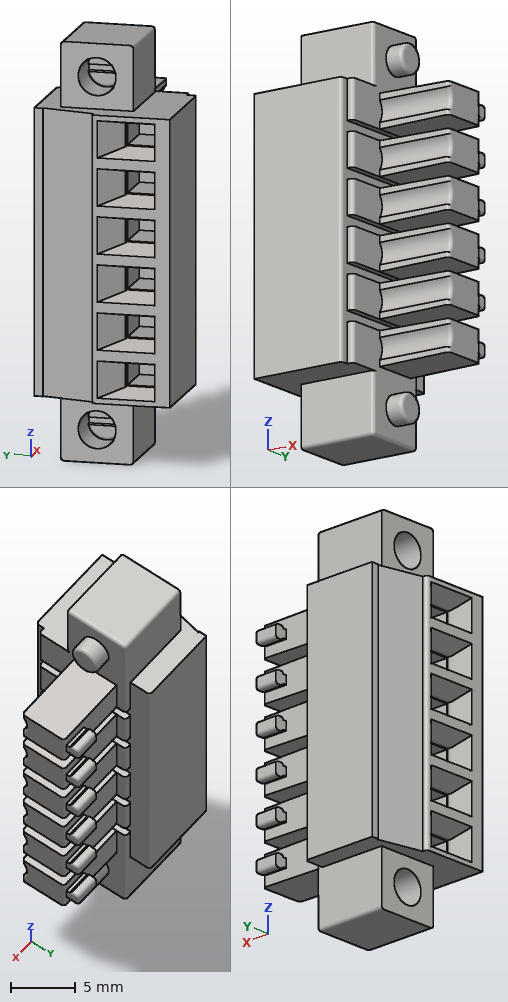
import cadquery as cq

pole_count = 6
pitch = 3.81
edge_radius = 0.3

housing_height = pole_count * pitch
housing_length = 8.3
housing_depth = 11.1
cover_x = 1.2
cover_y = 10.4
slope_bottom_x = 0.45
ledge_y = 6.22
slope_top_x = 1.3

flange_height = 5.2
flange_x = 2.0
contact_face_x = 8.9
flange_y_min = 3.4
flange_y_max = 9.2
screw_y = (flange_y_min + flange_y_max) / 2
screw_inset = 2.57
screw_z = housing_height / 2 + screw_inset
screw_hole_end_x = 6.3

head_diameter = 3.0
head_depth = 1.6
slot_width = 0.6
slot_depth = 0.6
tip_diameter = 2.5
tip_end_x = 10.4

pin_base_y = 0.74
pin_base_height = 2.9
pin_end_x = 15.5
pin_end_height = 2.7
pin_y_min = 4.2
pin_y_max = 8.3
groove_diameter = 2.8
groove_width = 1.8

tab_x_min = 13.0
tab_x_max = 15.2
tab_y_max = 9.5
tab_neck_y = 8.6
tab_head_y = 8.8
tab_neck_half = 0.4
tab_head_half = 0.6
tab_end_radius = 0.25

funnel_y_min = 1.2
funnel_y_max = 5.75
funnel_height = 2.95
funnel_depth = 2.0
throat_y_min = 1.4
throat_y_max = 4.05
throat_height = 1.9
channel_ledge = 0.08
channel_start_x = 2.4
channel_end_x = 6.0

pole_positions = [(i - (pole_count - 1) / 2) * pitch for i in range(pole_count)]


def box(x_range, y_range, z_range):
    """Axis-aligned box between the given limits."""
    sizes = [high - low for low, high in (x_range, y_range, z_range)]
    corner = (x_range[0], y_range[0], z_range[0])
    return cq.Workplane("XY").box(*sizes, centered=False).translate(corner)


def x_cylinder(diameter, x_range, y, z):
    """Cylinder along X, centred on (y, z)."""
    plane = cq.Workplane("YZ", origin=(x_range[0], y, z))
    return plane.circle(diameter / 2).extrude(x_range[1] - x_range[0])


def make_housing():
    profile = (
        cq.Workplane("XY", origin=(0, 0, -housing_height / 2))
        .lineTo(housing_length, 0)
        .lineTo(housing_length, housing_depth)
        .lineTo(cover_x, housing_depth)
        .lineTo(cover_x, cover_y)
        .lineTo(slope_top_x, cover_y)
        .lineTo(slope_bottom_x, ledge_y)
        .lineTo(0, ledge_y)
        .close()
    )
    housing = profile.extrude(housing_height).edges("|Z and >X").fillet(edge_radius)
    return housing.faces("<X").edges("|Z and >Y").fillet(edge_radius)


def make_flange(side):
    """Screw block at the +Z (side = 1) or -Z (side = -1) end, with its screw."""
    inner_z = housing_height / 2
    z_range = sorted((side * inner_z, side * (inner_z + flange_height)))
    block = box((flange_x, contact_face_x), (flange_y_min, flange_y_max), z_range)
    outer_face = ">Z" if side > 0 else "<Z"
    block = block.edges(f"(|X and {outer_face}) or (>X and (|Z or {outer_face}))").fillet(edge_radius)

    z = side * screw_z
    head_x = screw_hole_end_x - head_depth
    head = x_cylinder(head_diameter, (head_x, screw_hole_end_x), screw_y, z)
    head = head.faces("<X").edges().fillet(edge_radius)
    slot = box(
        (head_x, head_x + slot_depth),
        (screw_y - head_diameter / 2, screw_y + head_diameter / 2),
        (z - slot_width / 2, z + slot_width / 2),
    )
    hole = x_cylinder(head_diameter, (flange_x, screw_hole_end_x), screw_y, z)
    hole_above_head = hole.cut(head.cut(slot))

    tip = x_cylinder(tip_diameter, (screw_hole_end_x, tip_end_x), screw_y, z)
    tip = tip.faces(">X").edges().fillet(edge_radius)
    return block.cut(hole_above_head).union(tip)


def make_pin_base(z):
    """Raised pad under a pin; the pads of the first and last pole reach the housing ends."""
    z_min = z - pin_base_height / 2
    z_max = z + pin_base_height / 2
    if z == pole_positions[0]:
        z_min = -housing_height / 2
    if z == pole_positions[-1]:
        z_max = housing_height / 2
    pad = box((housing_length - edge_radius, contact_face_x), (pin_base_y, flange_y_max), (z_min, z_max))
    return pad.edges("|Z and >X").fillet(edge_radius)


def make_pin(z):
    """Tapered pin with rounded end edges and a shallow round groove along its front."""
    base_half = pin_base_height / 2
    end_half = pin_end_height / 2
    pin = (
        cq.Workplane("XZ", origin=(0, pin_y_max, z))
        .moveTo(housing_length, -base_half)
        .lineTo(pin_end_x, -end_half)
        .lineTo(pin_end_x, end_half)
        .lineTo(housing_length, base_half)
        .close()
        .extrude(pin_y_max - pin_y_min)
    )
    groove_radius = groove_diameter / 2
    axis_offset = (groove_radius**2 - (groove_width / 2) ** 2) ** 0.5
    groove = x_cylinder(groove_diameter, (contact_face_x, pin_end_x), pin_y_min - axis_offset, z)
    return pin.cut(groove).faces(">X").edges("not |Y").fillet(edge_radius)


def make_tab(z):
    """Coding tab along X: a neck that widens into a head with rounded top and end edges."""
    half_profile = [
        (pin_y_max, tab_neck_half),
        (tab_neck_y, tab_neck_half),
        (tab_head_y, tab_head_half),
        (tab_y_max, tab_head_half),
    ]
    mirrored = [(y, -half) for y, half in reversed(half_profile)]
    plane = cq.Workplane("YZ", origin=(tab_x_min, 0, z))
    tab = plane.polyline(half_profile + mirrored).close().extrude(tab_x_max - tab_x_min)
    tab = tab.edges("|X and >Y").fillet(edge_radius)
    head_box = ((0, tab_head_y, z - pitch / 2), (pin_end_x, housing_depth, z + pitch / 2))
    return tab.faces(">X").edges(cq.selectors.BoxSelector(*head_box)).fillet(tab_end_radius)


def make_wire_entry(z):
    """Cutter for one wire entry: funnel, short throat, then a channel behind a narrow ledge."""
    funnel_centre_y = (funnel_y_min + funnel_y_max) / 2
    throat_centre_y = (throat_y_min + throat_y_max) / 2
    funnel = (
        cq.Workplane("YZ", origin=(0, funnel_centre_y, z))
        .rect(funnel_y_max - funnel_y_min, funnel_height)
        .workplane(offset=funnel_depth)
        .center(throat_centre_y - funnel_centre_y, 0)
        .rect(throat_y_max - throat_y_min, throat_height)
        .loft(ruled=True)
    )
    throat = box(
        (funnel_depth, channel_start_x),
        (throat_y_min, throat_y_max),
        (z - throat_height / 2, z + throat_height / 2),
    )
    channel_half = throat_height / 2 - channel_ledge
    channel = box(
        (channel_start_x, channel_end_x),
        (throat_y_min + channel_ledge, throat_y_max - channel_ledge),
        (z - channel_half, z + channel_half),
    )
    return funnel.union(throat).union(channel)


result = make_housing()
for flange_side in (-1, 1):
    result = result.union(make_flange(flange_side))
for pole_z in pole_positions:
    result = result.union(make_pin_base(pole_z)).union(make_pin(pole_z)).union(make_tab(pole_z))
    result = result.cut(make_wire_entry(pole_z))